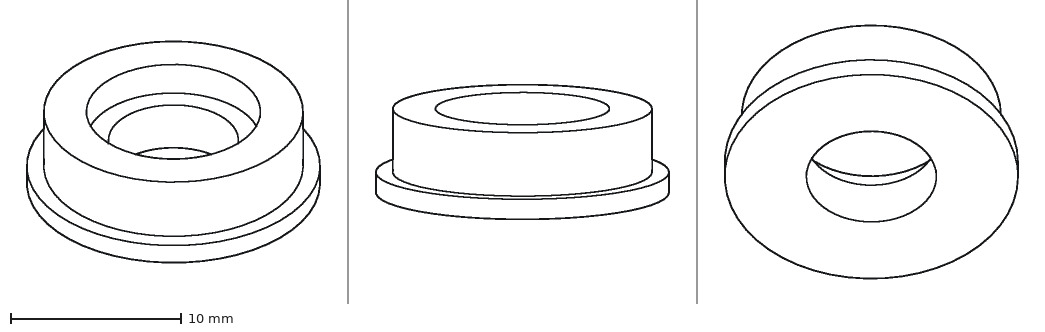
import cadquery as cq

flange_diameter = 17.22
flange_thickness = 1.2
body_diameter = 15.22
total_height = 5.0
bore_diameter = 7.63
counterbore_diameter = 10.21
counterbore_depth = 2.0

flange = cq.Workplane("XY").circle(flange_diameter / 2).extrude(flange_thickness)
body = cq.Workplane("XY").circle(body_diameter / 2).extrude(total_height)

result = (
    flange.union(body)
    .faces(">Z")
    .workplane(origin=(0, 0, total_height))
    .cboreHole(bore_diameter, counterbore_diameter, counterbore_depth)
)